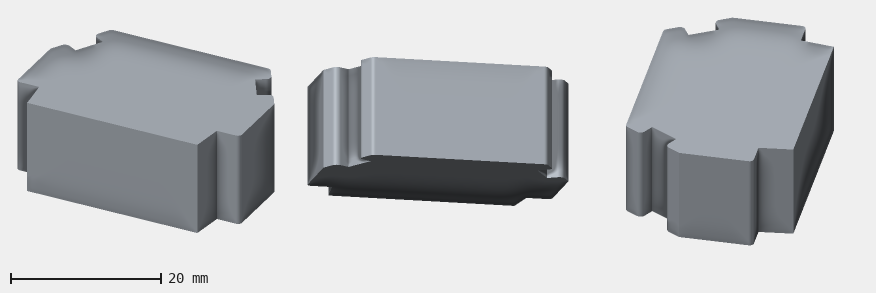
import cadquery as cq
import math

width = 33.42
depth = 23.0
height = 13.4

foot_depth = 4.6
foot_front_width = 25.4
foot_root_width = 26.55

flank_start_y = 14.67
flank_angle = math.radians(60)

notch_offset = 2.55
notch_width = 4.3
notch_depth = 2.2

shoulder_radius = 0.6
lip_radius = 0.75
back_radius = 0.67


def flank_point(along, inward):
    """Point on the +X flank, a distance along it and a distance into the body."""
    x = width / 2 - along * math.cos(flank_angle) - inward * math.sin(flank_angle)
    y = flank_start_y + along * math.sin(flank_angle) - inward * math.cos(flank_angle)
    return (x, y)


flank_length = (depth - flank_start_y) / math.sin(flank_angle)
notch_end = notch_offset + notch_width

shoulder = (width / 2, foot_depth)
lower_lip = flank_point(notch_offset, 0)
upper_lip = flank_point(notch_end, 0)
back_corner = flank_point(flank_length, 0)

right_half = [
    (foot_front_width / 2, 0),
    (foot_root_width / 2, foot_depth),
    shoulder,
    (width / 2, flank_start_y),
    lower_lip,
    flank_point(notch_offset, notch_depth),
    flank_point(notch_end, notch_depth),
    upper_lip,
    back_corner,
]


def mirrored(point):
    return (-point[0], point[1])


left_half = [mirrored(point) for point in reversed(right_half)]

body = (
    cq.Workplane("XY")
    .polyline(right_half + left_half)
    .close()
    .extrude(height)
)


def round_corner_pair(solid, corner, radius):
    """Round the upright edge at a corner and its mirror image across X = 0."""
    for x, y in (corner, mirrored(corner)):
        nearest_edge = cq.selectors.NearestToPointSelector((x, y, height / 2))
        solid = solid.edges("|Z").edges(nearest_edge).fillet(radius)
    return solid


body = round_corner_pair(body, shoulder, shoulder_radius)
body = round_corner_pair(body, lower_lip, lip_radius)
body = round_corner_pair(body, upper_lip, lip_radius)
body = round_corner_pair(body, back_corner, back_radius)

result = body